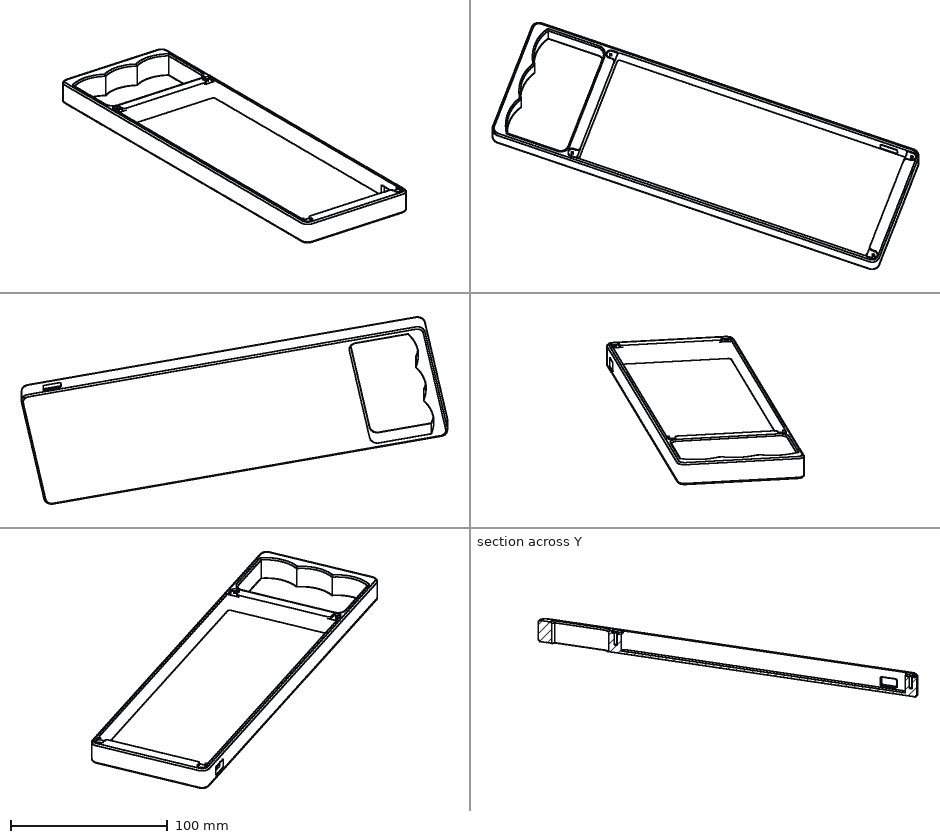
import cadquery as cq
import math

length = 262.2
width = 82.0
height = 14.7
corner_radius = 5.0
edge_chamfer = 1.1

side_wall = 2.5
inner_width = width - 2 * side_wall
inner_half = inner_width / 2

floor_thickness = 2.0
pocket_start = 57.7
pocket_end = 254.0
pocket_corner_radius = 1.5

finger_count = 3
handle_chamfer = 1.0
handle_half = inner_half - handle_chamfer
finger_pitch = 2 * handle_half / finger_count
finger_root = 10.8
finger_depth = 3.7
handle_end = 49.8
handle_corner_radius = 5.0

seat_depth = 1.3
seat_radius = 2.5
seat_flare = 1.8
screw_inset = 4.0
screw_y = inner_half - seat_radius
screw_diameter = 1.5
screw_depth = 7.9

slot_start = 235.7
slot_end = 247.3
slot_bottom = 3.1
slot_height = 6.0
slot_corner_radius = 1.0


def make_body():
    body = cq.Workplane("XY").box(length, width, height, centered=(False, True, False))
    return body.edges("|Z").fillet(corner_radius).faces("<Z or >Z").chamfer(edge_chamfer)


def make_pocket():
    pocket = (
        cq.Workplane("XY", origin=(pocket_start, 0, floor_thickness))
        .box(pocket_end - pocket_start, inner_width, height, centered=(False, True, False))
    )
    return pocket.edges("|Z").fillet(pocket_corner_radius)


def make_handle_opening():
    outline = cq.Workplane("XY").moveTo(finger_root, -handle_half)
    outline = outline.lineTo(handle_end, -handle_half).lineTo(handle_end, handle_half)
    outline = outline.lineTo(finger_root, handle_half)
    for finger in range(finger_count):
        start_y = handle_half - finger * finger_pitch
        outline = outline.threePointArc(
            (finger_root - finger_depth, start_y - finger_pitch / 2),
            (finger_root, start_y - finger_pitch),
        )
    opening = outline.close().extrude(height)
    return opening.edges("|Z and >X").fillet(handle_corner_radius)


def make_seat(pocket_edge, outward, side):
    """Tab seat reaching from a pocket edge (outward = -1 or 1 along X) at one side wall."""
    screw_x = pocket_edge + outward * screw_inset
    flare_x = pocket_edge + outward * seat_flare
    wall_y = side * inner_half
    inner_y = side * (screw_y - seat_radius)
    bend = seat_flare * (1 - math.cos(math.pi / 4))
    seat = (
        cq.Workplane("XY", origin=(0, 0, height - seat_depth))
        .moveTo(pocket_edge, wall_y)
        .lineTo(screw_x, wall_y)
        .threePointArc((screw_x + outward * seat_radius, side * screw_y), (screw_x, inner_y))
        .lineTo(flare_x, inner_y)
        .threePointArc(
            (pocket_edge + outward * bend, inner_y - side * bend),
            (pocket_edge, inner_y - side * seat_flare),
        )
        .close()
        .extrude(height)
    )
    hole = (
        cq.Workplane("XY", origin=(screw_x, side * screw_y, height - seat_depth - screw_depth))
        .circle(screw_diameter / 2)
        .extrude(height)
    )
    return seat.union(hole)


def make_cable_slot():
    slot = (
        cq.Workplane("XY", origin=(slot_start, 0, slot_bottom))
        .box(slot_end - slot_start, width, slot_height, centered=False)
    )
    return slot.edges("|Y").fillet(slot_corner_radius)


result = make_body().cut(make_handle_opening())
handle_rim = result.faces(">Z").val().innerWires()[0].Edges()
result = result.newObject(handle_rim).chamfer(handle_chamfer)
result = result.cut(make_pocket()).cut(make_cable_slot())
for pocket_edge, outward in ((pocket_start, -1), (pocket_end, 1)):
    for side in (-1, 1):
        result = result.cut(make_seat(pocket_edge, outward, side))